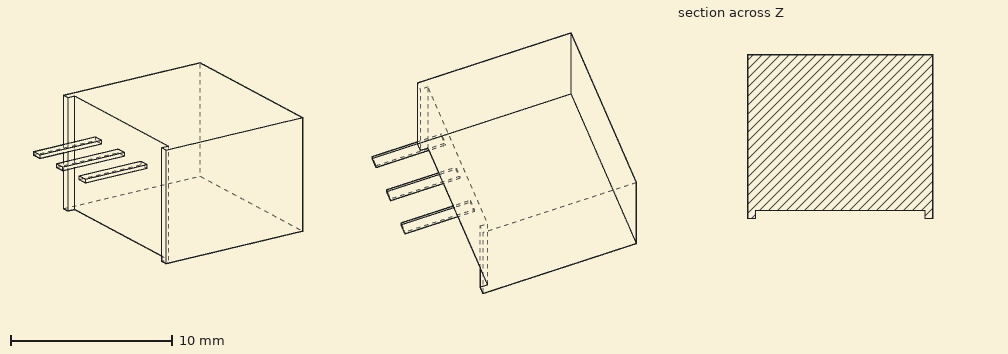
import cadquery as cq

body_width = 11.5
overall_length = 14.3
body_height = 7.55

case_length = 10.2
rib_depth = 0.5
rib_thickness = 0.5

pin_count = 3
pin_pitch = 2.55
pin_width = 0.7
pin_thickness = 0.25
pin_drop = 2.1
pin_row_offset = -0.03

rib_front = overall_length - case_length
pin_face = rib_front + rib_depth


def make_case():
    block = cq.Workplane("XY").box(
        body_width, case_length, body_height, centered=(True, False, False)
    )
    recess = cq.Workplane("XY").box(
        body_width - 2 * rib_thickness, rib_depth, body_height, centered=(True, False, False)
    )
    return block.cut(recess).translate((0, rib_front, 0))


def make_pin(x):
    pin = cq.Workplane("XY").box(
        pin_width, pin_face, pin_thickness, centered=(True, False, True)
    )
    return pin.translate((x, 0, body_height - pin_drop))


result = make_case()
for index in range(pin_count):
    steps_from_middle = index - (pin_count - 1) / 2
    result = result.union(make_pin(pin_row_offset + steps_from_middle * pin_pitch))